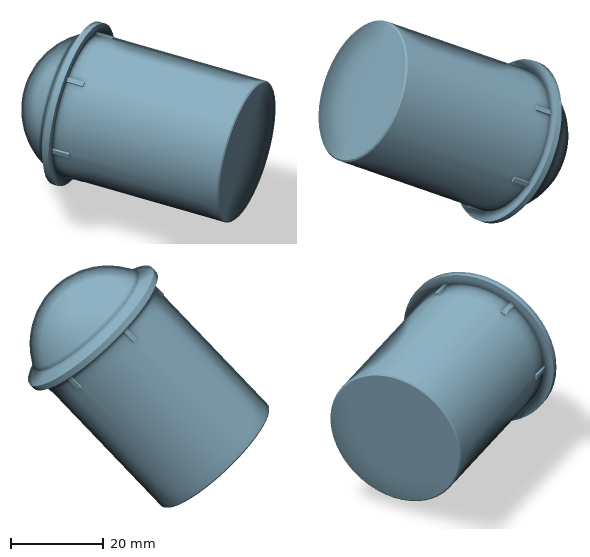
import cadquery as cq
import math

total_length = 51.9
dome_height = 9.1
collar_length = 0.75
flange_front = 11.4
flange_back = 12.8
rib_length = 4.0

barrel_radius = 32.0 / 2
flange_radius = 36.8 / 2
dome_base_radius = 15.1
collar_radius = 15.35
end_chamfer = 0.3

rib_count = 6
rib_width = 1.1
rib_outer_radius = 16.5
rib_root_depth = 0.5

dome_sphere_radius = (dome_height**2 + dome_base_radius**2) / (2 * dome_height)
dome_half_angle = math.asin(dome_base_radius / dome_sphere_radius) / 2
dome_mid_point = (
    dome_sphere_radius * (1 - math.cos(dome_half_angle)),
    dome_sphere_radius * math.sin(dome_half_angle),
)


def make_body():
    """Revolve the dome, collar, conical flange and barrel about the X axis."""
    profile = (
        cq.Workplane("XY")
        .moveTo(0, 0)
        .threePointArc(dome_mid_point, (dome_height, dome_base_radius))
        .lineTo(dome_height + collar_length, collar_radius)
        .lineTo(flange_front, flange_radius)
        .lineTo(flange_back, flange_radius)
        .lineTo(flange_back, barrel_radius)
        .lineTo(total_length - end_chamfer, barrel_radius)
        .lineTo(total_length, barrel_radius - end_chamfer)
        .lineTo(total_length, 0)
        .close()
    )
    return profile.revolve(360, (0, 0, 0), (1, 0, 0))


def make_rib(angle):
    """Make one rib, turned about the X axis from the +Y direction."""
    rib_inner_radius = barrel_radius - rib_root_depth
    rib_height = rib_outer_radius - rib_inner_radius
    return (
        cq.Workplane("XY")
        .box(rib_length, rib_height, rib_width, centered=(False, False, True))
        .translate((flange_back, rib_inner_radius, 0))
        .rotate((0, 0, 0), (1, 0, 0), angle)
    )


result = make_body()
for rib_index in range(rib_count):
    result = result.union(make_rib(rib_index * 360 / rib_count))